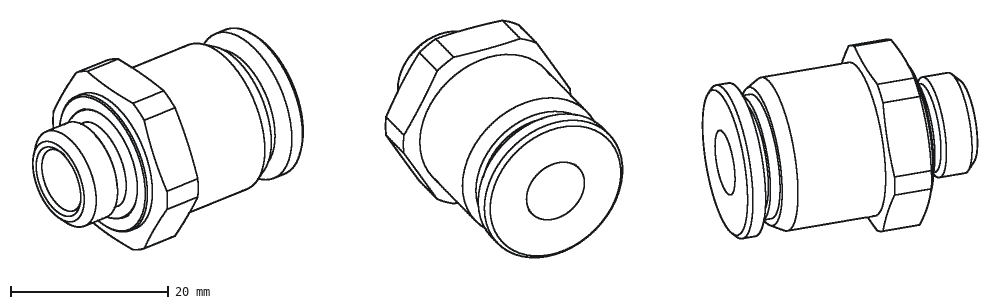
import cadquery as cq
import math

LENGTH = 32.0

BORE_RADIUS = 4.15
BORE_CHAMFER = 0.5
THREAD_RADIUS = 6.5
THREAD_TIP_CHAMFER = 1.1
THREAD_BACK_START = 4.5
THREAD_BACK_END = 5.0
NECK_RADIUS = 5.73

COLLAR_RADIUS = 9.2
COLLAR_FACE = 7.0
COLLAR_CHAMFER = 0.2
GROOVE_RADIUS = 7.35

RING_OUTER_RADIUS = 7.25
RING_FRONT = 6.08
RING_SECTION_RADIUS = (RING_OUTER_RADIUS - NECK_RADIUS) / 2
RING_MEAN_RADIUS = NECK_RADIUS + RING_SECTION_RADIUS
RING_CENTER = RING_FRONT + RING_SECTION_RADIUS
GROOVE_FLOOR = RING_CENTER + RING_SECTION_RADIUS

HEX_ACROSS_FLATS = 22.0
HEX_CORNER_RADIUS = 12.0
HEX_FACE_RADIUS = HEX_ACROSS_FLATS / 2
HEX_FRONT = 8.0
HEX_FRONT_SLOPE = math.tan(math.radians(15))
HEX_BACK_SLOPE = math.tan(math.radians(11))

BODY_RADIUS = 9.92
BODY_START = 13.6
BODY_FILLET = 0.15
SHOULDER_START = 25.45
SHOULDER_END = 27.23
SHOULDER_RADIUS = 8.93
SLEEVE_RADIUS = 8.03
SLEEVE_END = 28.5
RELEASE_NECK_RADIUS = 7.17
FLARE_RADIUS = 0.3
FLANGE_RADIUS = BODY_RADIUS
FLANGE_START = 29.75
FLANGE_CHAMFER = 0.55


def revolve_about_y(profile):
    """Turn a closed (radius, Y) profile once around the Y axis."""
    return profile.close().revolve(360, (0, 0, 0), (0, 1, 0))


def make_threaded_end():
    """Thread, neck and grooved sealing collar, up to the hexagon."""
    points = [
        (0, 0),
        (THREAD_RADIUS - THREAD_TIP_CHAMFER, 0),
        (THREAD_RADIUS, THREAD_TIP_CHAMFER),
        (THREAD_RADIUS, THREAD_BACK_START),
        (NECK_RADIUS, THREAD_BACK_END),
        (NECK_RADIUS, GROOVE_FLOOR),
        (GROOVE_RADIUS, GROOVE_FLOOR),
        (GROOVE_RADIUS, COLLAR_FACE),
        (COLLAR_RADIUS - COLLAR_CHAMFER, COLLAR_FACE),
        (COLLAR_RADIUS, COLLAR_FACE + COLLAR_CHAMFER),
        (COLLAR_RADIUS, HEX_FRONT),
        (0, HEX_FRONT),
    ]
    return revolve_about_y(cq.Workplane("XY").polyline(points))


def make_hexagon():
    """Hexagon with flats facing +Z and -Z, cut to round corners and bevelled on both faces."""
    front_bevel = (HEX_CORNER_RADIUS - HEX_FACE_RADIUS) * HEX_FRONT_SLOPE
    back_bevel = (HEX_CORNER_RADIUS - BODY_RADIUS) * HEX_BACK_SLOPE
    envelope_points = [
        (0, HEX_FRONT),
        (HEX_FACE_RADIUS, HEX_FRONT),
        (HEX_CORNER_RADIUS, HEX_FRONT + front_bevel),
        (HEX_CORNER_RADIUS, BODY_START - back_bevel),
        (BODY_RADIUS, BODY_START),
        (0, BODY_START),
    ]
    envelope = revolve_about_y(cq.Workplane("XY").polyline(envelope_points))
    across_corners = HEX_ACROSS_FLATS / math.cos(math.radians(30))
    prism = (
        cq.Workplane("XZ", origin=(0, HEX_FRONT, 0))
        .polygon(6, across_corners)
        .extrude(HEX_FRONT - BODY_START)
    )
    return prism.intersect(envelope)


def make_tube_end():
    """Cylindrical body, tapered shoulder, sleeve and release flange."""
    flare_start = FLANGE_START - FLARE_RADIUS
    profile = (
        cq.Workplane("XY")
        .moveTo(0, BODY_START)
        .lineTo(BODY_RADIUS, BODY_START)
        .lineTo(BODY_RADIUS, SHOULDER_START)
        .lineTo(SHOULDER_RADIUS, SHOULDER_END)
        .lineTo(SLEEVE_RADIUS, SHOULDER_END)
        .lineTo(SLEEVE_RADIUS, SLEEVE_END)
        .lineTo(RELEASE_NECK_RADIUS, SLEEVE_END)
        .lineTo(RELEASE_NECK_RADIUS, flare_start)
        .tangentArcPoint((RELEASE_NECK_RADIUS + FLARE_RADIUS, FLANGE_START), relative=False)
        .lineTo(FLANGE_RADIUS, FLANGE_START)
        .lineTo(FLANGE_RADIUS, LENGTH - FLANGE_CHAMFER)
        .lineTo(FLANGE_RADIUS - FLANGE_CHAMFER, LENGTH)
        .lineTo(0, LENGTH)
    )
    return revolve_about_y(profile)


def make_bore():
    """Through bore, chamfered at the threaded end."""
    points = [
        (0, 0),
        (BORE_RADIUS + BORE_CHAMFER, 0),
        (BORE_RADIUS, BORE_CHAMFER),
        (BORE_RADIUS, LENGTH),
        (0, LENGTH),
    ]
    return revolve_about_y(cq.Workplane("XY").polyline(points))


def make_fitting():
    """Complete push-in fitting."""
    outside = make_threaded_end().union(make_hexagon()).union(make_tube_end())
    body_corner = cq.selectors.BoxSelector(
        (-BODY_FILLET, BODY_START - BODY_FILLET, -BODY_FILLET),
        (BODY_FILLET, BODY_START + BODY_FILLET, BODY_FILLET),
    )
    return outside.edges(body_corner).fillet(BODY_FILLET).cut(make_bore())


def make_o_ring():
    """Round-section sealing ring."""
    section = cq.Workplane("XY").center(RING_MEAN_RADIUS, RING_CENTER).circle(RING_SECTION_RADIUS)
    return section.revolve(360, (-RING_MEAN_RADIUS, 0, 0), (-RING_MEAN_RADIUS, 1, 0))


fitting = make_fitting()
o_ring = make_o_ring()

result = cq.Compound.makeCompound([fitting.solids().val(), o_ring.val()])